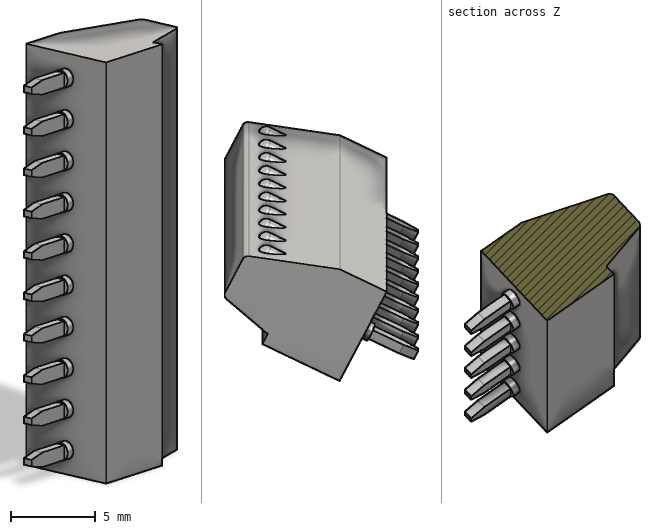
import cadquery as cq
import math

PIN_COUNT = 10
PITCH = 2.54
END_MARGIN = 1.5
ROW_LENGTH = (PIN_COUNT - 1) * PITCH
BODY_LENGTH = ROW_LENGTH + 2 * END_MARGIN

BODY_WIDTH = 6.2
BODY_HEIGHT = 8.5
LEFT_WALL_HEIGHT = 3.1
LEFT_SLOPE_ANGLE = 18.0
LEDGE_HEIGHT = 5.1
LEDGE_WIDTH = 0.7
RIGHT_SLOPE_ANGLE = 15.0
CREST_RADIUS = 0.35

COLLAR_DIAMETER = 1.1
COLLAR_LENGTH = 0.5
PIN_LENGTH = 3.5
PIN_TAPER_LENGTH = 1.0
PIN_THICKNESS = 0.6
PIN_WIDTH = 0.9
PIN_TIP_WIDTH = 0.4

BUTTON_RADIUS = 0.5
BUTTON_TOP = 7.7
BUTTON_INSET = 1.0
BUTTON_BASE = 5.5


def make_housing():
    half_width = BODY_WIDTH / 2
    left_run = (BODY_HEIGHT - LEFT_WALL_HEIGHT) * math.tan(math.radians(LEFT_SLOPE_ANGLE))
    right_run = (BODY_HEIGHT - LEDGE_HEIGHT) * math.tan(math.radians(RIGHT_SLOPE_ANGLE))
    ledge_inner_x = half_width - LEDGE_WIDTH
    outline = [
        (-half_width, 0),
        (half_width, 0),
        (half_width, LEDGE_HEIGHT),
        (ledge_inner_x, LEDGE_HEIGHT),
        (ledge_inner_x - right_run, BODY_HEIGHT),
        (-half_width + left_run, BODY_HEIGHT),
        (-half_width, LEFT_WALL_HEIGHT),
    ]
    housing = cq.Workplane("XY").polyline(outline).close().extrude(BODY_LENGTH / 2, both=True)
    return housing.faces(">Y").edges("|Z").fillet(CREST_RADIUS)


def make_pin(z):
    collar = (
        cq.Workplane("XZ")
        .center(0, z)
        .circle(COLLAR_DIAMETER / 2)
        .extrude(COLLAR_LENGTH)
    )
    taper_start = -(PIN_LENGTH - PIN_TAPER_LENGTH)
    blade_outline = [
        (0, z - PIN_WIDTH / 2),
        (taper_start, z - PIN_WIDTH / 2),
        (-PIN_LENGTH, z - PIN_TIP_WIDTH / 2),
        (-PIN_LENGTH, z + PIN_TIP_WIDTH / 2),
        (taper_start, z + PIN_WIDTH / 2),
        (0, z + PIN_WIDTH / 2),
    ]
    blade = cq.Workplane("YZ").polyline(blade_outline).close().extrude(PIN_THICKNESS / 2, both=True)
    return collar.union(blade)


def make_button(z):
    axis_x = -BODY_WIDTH / 2 + BUTTON_INSET + BUTTON_RADIUS
    dome_base = BUTTON_TOP - BUTTON_RADIUS
    dome_offset = BUTTON_RADIUS * math.sqrt(0.5)
    button = (
        cq.Workplane("XY")
        .moveTo(0, BUTTON_BASE)
        .lineTo(BUTTON_RADIUS, BUTTON_BASE)
        .lineTo(BUTTON_RADIUS, dome_base)
        .threePointArc((dome_offset, dome_base + dome_offset), (0, BUTTON_TOP))
        .close()
        .revolve(360, (0, 0, 0), (0, 1, 0))
    )
    return button.translate((axis_x, 0, z))


result = make_housing()
for index in range(PIN_COUNT):
    contact_z = index * PITCH - ROW_LENGTH / 2
    result = result.union(make_pin(contact_z)).union(make_button(contact_z))